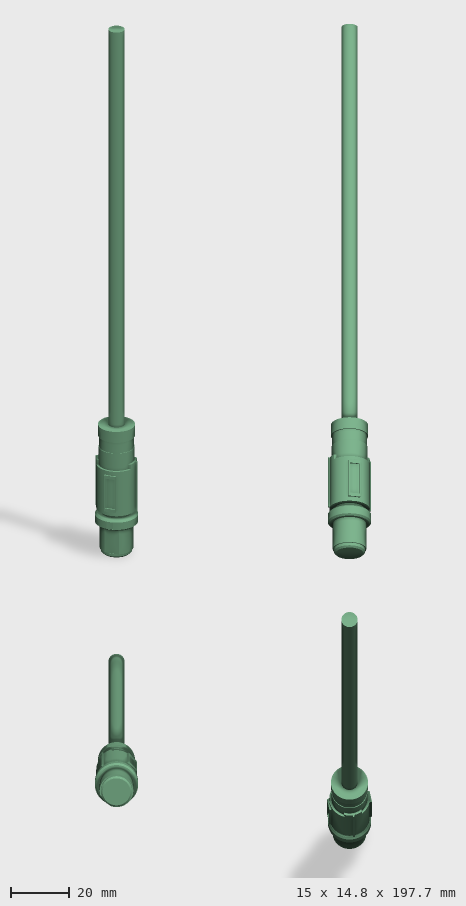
import cadquery as cq

total_length = 197.7
cable_radius = 2.8

tip_top = 1.5
nut_bottom = 11.0
nut_top = 15.0
grip_bottom = 16.6
grip_top = 33.5
tab_top = 35.2
barrel_top = 40.0
cap_bottom = 44.0
cap_top = 48.2

plug_radius = 5.7
nut_radius = 7.41
nut_neck_radius = 5.1
grip_radius = 7.0
barrel_radius = 6.1
neck_radius = 6.0
cap_radius = 6.3

tip_radius = 5.3
tip_chamfer = 0.5
flat_distance = 5.1

nut_chamfer = 0.5
marker_width = 2.4
marker_bottom = nut_bottom + nut_chamfer
marker_top = nut_top - nut_chamfer
marker_depth = 0.2

tab_width = 6.1
rib_radius = 7.5
rib_width = 0.5

frame_width = 4.2
frame_bottom = 18.2
frame_height = 13.6
frame_side_rim = 0.4
frame_end_rim = 1.2
frame_face_distance = 7.41
frame_recess_depth = 0.5


def disc(radius, bottom, top):
    """Solid cylinder on the Z axis between two heights."""
    return cq.Workplane("XY").workplane(offset=bottom).circle(radius).extrude(top - bottom)


def block(width, depth, bottom, top):
    """Box centred on the Z axis between two heights."""
    return cq.Workplane("XY").workplane(offset=bottom).rect(width, depth).extrude(top - bottom)


def make_plug():
    """Plug end with a flat on its -Y side and a narrower chamfered tip."""
    plug = disc(plug_radius, tip_top, nut_bottom)
    flat_depth = plug_radius - flat_distance
    flat = block(2 * plug_radius, 2 * flat_depth, tip_top, nut_bottom)
    plug = plug.cut(flat.translate((0, -plug_radius, 0)))
    tip = disc(tip_radius, 0, tip_top).faces("<Z").edges().chamfer(tip_chamfer)
    return plug.union(tip)


def make_nut():
    """Coupling nut with chamfered rims and a shallow marker flat."""
    nut = disc(nut_radius, nut_bottom, nut_top).faces("<Z or >Z").edges().chamfer(nut_chamfer)
    marker = block(marker_width, 2 * marker_depth, marker_bottom, marker_top)
    return nut.cut(marker.translate((0, -nut_radius, 0)))


def make_grip():
    """Round grip with a raised tab and a thin full-height rib on each X side."""
    grip = disc(grip_radius, grip_bottom, grip_top)
    tabs = disc(grip_radius, grip_top, tab_top).intersect(
        block(2 * grip_radius, tab_width, grip_top, tab_top)
    )
    ribs = block(2 * rib_radius, rib_width, grip_bottom, tab_top)
    return grip.union(tabs).union(ribs)


def make_frames():
    """Pair of raised rectangular frames on the Y sides, spanning the grip."""
    frame_top = frame_bottom + frame_height
    frames = block(frame_width, 2 * frame_face_distance, frame_bottom, frame_top)
    for side in (-1, 1):
        recess = block(
            frame_width - 2 * frame_side_rim,
            2 * frame_recess_depth,
            frame_bottom + frame_end_rim,
            frame_top - frame_end_rim,
        )
        frames = frames.cut(recess.translate((0, side * frame_face_distance, 0)))
    return frames


result = (
    make_plug()
    .union(make_nut())
    .union(disc(nut_neck_radius, nut_top, grip_bottom))
    .union(make_grip())
    .union(make_frames())
    .union(disc(barrel_radius, grip_top, barrel_top))
    .union(disc(neck_radius, barrel_top, cap_bottom))
    .union(disc(cap_radius, cap_bottom, cap_top))
    .union(disc(cable_radius, cap_top, total_length))
)